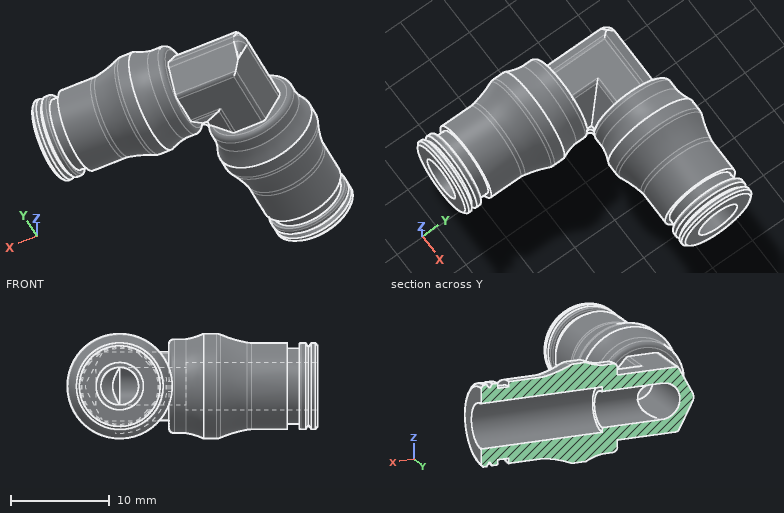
import math

import cadquery as cq


collar_start = 4.96
collar_end = 6.68
crown_start = 8.5
crown_end = 9.8
taper_start = 10.18
taper_end = 12.86
body_start = 13.32
body_end = 17.0
ring_start = 18.18
socket_end = 20.08

collar_radius = 4.77
collar_fillet = 0.54
crown_radius = 5.33
crown_drop = 0.08
body_radius = 4.395
body_rise = 0.045
neck_radius = 3.85
shoulder_sag = 0.07
taper_sag = 0.08

ring_fillet = 0.19
groove_centre = 19.13
groove_half_width = 0.3
groove_depth = 0.42
ring_chamfer_length = 0.26
ring_chamfer_depth = 0.3

tube_radius = 2.4
tube_stop = collar_end
passage_radius = 1.91
drill_point_angle = 118.0

arm_half_height = 3.5
flat_half_width = 1.75
outer_tip = 3.62
outer_tip_fillet = 1.0
flat_edge_fillet = 0.5
outer_corner_radius = 1.07
web_start = 4.5
web_edge = 4.66
web_half_thickness = 0.5
web_fillet = 0.5
arm_overlap = 1.0
arm_end = collar_start + arm_overlap

MITRE_NORMAL = (1, 1, 0)


def bowed_point(start, end, sag):
    """Middle point of a hollow arc, set back from the chord toward the axis."""
    (x0, r0), (x1, r1) = start, end
    chord = math.hypot(x1 - x0, r1 - r0)
    mid_x = (x0 + x1) / 2 + sag * (r1 - r0) / chord
    mid_r = (r0 + r1) / 2 - sag * (x1 - x0) / chord
    return mid_x, mid_r


def round_over(sketch, x, radius, fillet):
    """Step from a face at x up to a cylinder through a quarter-round edge."""
    diagonal = fillet * (1 - math.sqrt(0.5))
    sketch = sketch.lineTo(x, radius - fillet)
    return sketch.threePointArc((x + diagonal, radius - diagonal), (x + fillet, radius))


def make_socket():
    """Solid socket along +X."""
    shoulder = (collar_end, collar_radius), (crown_start, crown_radius)
    taper = (taper_start, crown_radius - crown_drop), (taper_end, body_radius + body_rise)

    profile = cq.Workplane("XY").moveTo(collar_start, 0)
    profile = round_over(profile, collar_start, collar_radius, collar_fillet)
    profile = (
        profile.lineTo(*shoulder[0])
        .threePointArc(bowed_point(*shoulder, shoulder_sag), shoulder[1])
        .lineTo(crown_end, crown_radius)
        .tangentArcPoint(taper[0], relative=False)
        .threePointArc(bowed_point(*taper, taper_sag), taper[1])
        .tangentArcPoint((body_start, body_radius), relative=False)
        .lineTo(body_end, body_radius)
        .lineTo(body_end, neck_radius)
        .lineTo(ring_start, neck_radius)
    )
    profile = round_over(profile, ring_start, body_radius, ring_fillet)
    profile = (
        profile.lineTo(groove_centre - groove_half_width, body_radius)
        .lineTo(groove_centre, body_radius - groove_depth)
        .lineTo(groove_centre + groove_half_width, body_radius)
        .lineTo(socket_end - ring_chamfer_length, body_radius)
        .lineTo(socket_end, body_radius - ring_chamfer_depth)
        .lineTo(socket_end, 0)
        .close()
    )
    return profile.revolve(360, (0, 0, 0), (1, 0, 0))


def make_arm():
    """Elbow arm along +X, with its far end cut on the 45 degree mitre plane."""
    start = -2 * outer_tip
    section = [
        (outer_tip, 0),
        (flat_half_width, arm_half_height),
        (-flat_half_width, arm_half_height),
        (-web_start, web_half_thickness),
        (-web_edge, web_half_thickness),
        (-web_edge, -web_half_thickness),
        (-web_start, -web_half_thickness),
        (-flat_half_width, -arm_half_height),
        (flat_half_width, -arm_half_height),
    ]
    arm = cq.Workplane("YZ", origin=(start, 0, 0)).polyline(section).close().extrude(arm_end - start)
    arm = arm.edges("|X and (>Z or <Z)").fillet(flat_edge_fillet)
    arm = arm.edges("|X and >Y").fillet(outer_tip_fillet)
    reach = 2 * arm_end
    mitre_side = (
        cq.Workplane("XY")
        .polyline([(-reach, reach), (reach, reach), (reach, -reach)])
        .close()
        .extrude(arm_half_height, both=True)
    )
    return arm.intersect(mitre_side)


def with_mirror(half):
    """Join a shape lying along +X to its mirror image lying along -Y."""
    return half.union(half.mirror(MITRE_NORMAL))


def round_outer_corner(elbow):
    """Replace the sharp outer corner by turning the arm's outer edge about a vertical axis."""
    slope = arm_half_height / (outer_tip - flat_half_width)
    tip_overhang = outer_tip_fillet * (math.hypot(1, slope) / slope - 1)
    axis = outer_tip - tip_overhang - outer_corner_radius
    cone_radius = outer_tip - axis
    cone_height = slope * cone_radius

    corner_block = (
        cq.Workplane("XY")
        .rect(outer_tip, outer_tip, centered=False)
        .extrude(arm_half_height, both=True)
        .translate((-axis - outer_tip, axis, 0))
    )
    double_cone = (
        cq.Workplane("XZ", origin=(-axis, axis, 0))
        .polyline([(0, -cone_height), (cone_radius, 0), (0, cone_height)])
        .close()
        .revolve(360, (0, 0, 0), (0, 1, 0))
    )
    rim = cq.selectors.RadiusNthSelector(-1)
    rounded_corner = double_cone.edges("%CIRCLE").edges(rim).fillet(outer_tip_fillet)
    return elbow.cut(corner_block).union(rounded_corner)


def make_elbow():
    """Mitred elbow with a filleted web in the inner corner and a rounded outer corner."""
    elbow = with_mirror(make_arm())
    web_corner = cq.selectors.NearestToPointSelector((web_edge, -web_edge, 0))
    elbow = elbow.edges("|Z").edges(web_corner).fillet(web_fillet)
    return round_outer_corner(elbow)


def make_bore():
    """Tube socket and passage along +X, ending in a drill point beyond the origin."""
    point_length = passage_radius / math.tan(math.radians(drill_point_angle / 2))
    return (
        cq.Workplane("XY")
        .polyline(
            [
                (-point_length, 0),
                (0, passage_radius),
                (tube_stop, passage_radius),
                (tube_stop, tube_radius),
                (socket_end, tube_radius),
                (socket_end, 0),
            ]
        )
        .close()
        .revolve(360, (0, 0, 0), (1, 0, 0))
    )


result = make_elbow().union(with_mirror(make_socket())).cut(with_mirror(make_bore()))